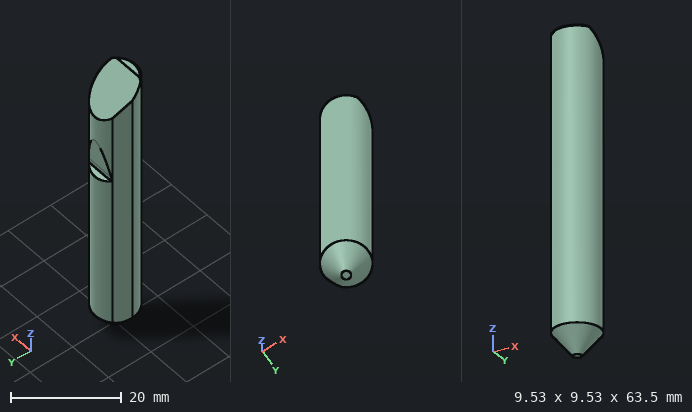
import cadquery as cq
import math

diameter = 9.53
radius = diameter / 2
length = 63.5

tip_radius = 0.88
point_height = 4.55

chamfer = 0.38

bevel_start_y = -2.97
bevel_angle = 45

flat_depth = 0.39
flat_direction = 157

notch_top_z = 49.7
notch_root_top_z = 41.9
notch_root_bottom_z = 40.9
notch_bottom_z = 40.4
notch_depth = 1.2


def make_shank():
    """Turned body: truncated point, cylinder and chamfered upper end."""
    return (
        cq.Workplane("XZ")
        .moveTo(0, 0)
        .lineTo(tip_radius, 0)
        .lineTo(radius, point_height)
        .lineTo(radius, length - chamfer)
        .lineTo(radius - chamfer, length)
        .lineTo(0, length)
        .close()
        .revolve(360, (0, 0, 0), (0, 1, 0))
    )


def make_cross_cut(points):
    """Prism through the full width along X from (y, z) corner points."""
    return cq.Workplane("YZ").polyline(points).close().extrude(radius, both=True)


def make_bevel_cut():
    """Wedge above the bevel plane."""
    bevel_run = radius - bevel_start_y
    bevel_drop = bevel_run * math.tan(math.radians(bevel_angle))
    return make_cross_cut([
        (bevel_start_y, length),
        (radius, length),
        (radius, length - bevel_drop),
    ])


def make_flat_cut():
    """Block beyond the side flat, over the full length."""
    return (
        cq.Workplane("XY")
        .box(flat_depth, diameter, length, centered=(False, True, False))
        .translate((radius - flat_depth, 0, 0))
        .rotate((0, 0, 0), (0, 0, 1), flat_direction)
    )


def make_notch_cut():
    """Long taper down to the notch root, then a short runout to the surface."""
    root_y = radius - notch_depth
    return make_cross_cut([
        (radius, notch_top_z),
        (root_y, notch_root_top_z),
        (root_y, notch_root_bottom_z),
        (radius, notch_bottom_z),
    ])


result = make_shank().cut(make_bevel_cut()).cut(make_flat_cut()).cut(make_notch_cut())